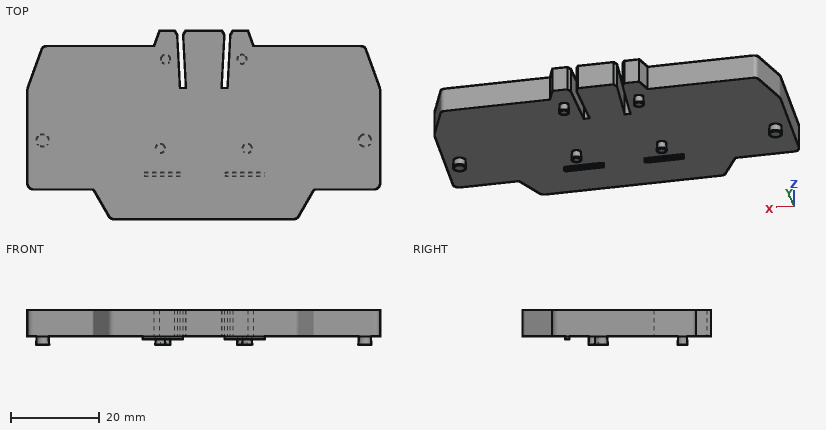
import cadquery as cq
import math

plate_thickness = 6.0
half_width = 40.0
total_depth = 42.8

tongue_height = 6.75
tongue_shoulder_x = 25.0
tongue_slope = math.radians(60)
tongue_half_width = tongue_shoulder_x - tongue_height / math.tan(tongue_slope)

shoulder_y = 39.3
tab_foot_x = 11.3
side_slope = math.radians(20)
bevel_start_y = 29.6
shoulder_corner_x = half_width - (shoulder_y - bevel_start_y) * math.tan(side_slope)
tab_top_x = tab_foot_x - (total_depth - shoulder_y) * math.tan(side_slope)

corner_radius = 1.5
shoulder_radius = 1.2
bevel_radius = 2.3
inner_corner_radius = 0.4

slit_floor_y = 29.8
slit_inner_x = 4.07
slit_outer_x = 5.36
slit_slope = math.radians(3)
mouth_chamfer_height = 1.0
mouth_chamfer_width = 0.6

peg_length = 2.0
neck_length = 0.5
head_flare = 0.1
peg_chamfer = 0.2
end_peg_diameter = 3.0
end_peg_x = 36.5
end_peg_y = 17.9
inner_peg_diameter = 2.3
lower_peg_x = 9.85
lower_peg_y = 16.1
upper_peg_x = 8.65
upper_peg_y = 36.3

bar_length = 9.2
bar_width = 1.0
bar_height = 0.75
bar_chamfer = 0.2
bar_x = (lower_peg_x + upper_peg_x) / 2
bar_y = 10.2


def round_upright_edges(body, corner_x, corner_y, radius):
    """Fillet the mirrored pair of upright edges at (+-corner_x, corner_y)."""
    reach = 0.05
    for x in (-corner_x, corner_x):
        selector = cq.selectors.BoxSelector(
            (x - reach, corner_y - reach, 0),
            (x + reach, corner_y + reach, plate_thickness),
        )
        body = body.edges(selector).fillet(radius)
    return body


def make_plate():
    """Symmetric plate outline, extruded and rounded at its corners."""
    right_side = [
        (tongue_half_width, 0),
        (tongue_shoulder_x, tongue_height),
        (half_width, tongue_height),
        (half_width, bevel_start_y),
        (shoulder_corner_x, shoulder_y),
        (tab_foot_x, shoulder_y),
        (tab_top_x, total_depth),
    ]
    left_side = [(-x, y) for x, y in reversed(right_side)]
    body = cq.Workplane("XY").polyline(right_side + left_side).close().extrude(plate_thickness)
    body = round_upright_edges(body, tongue_half_width, 0, corner_radius)
    body = round_upright_edges(body, tongue_shoulder_x, tongue_height, inner_corner_radius)
    body = round_upright_edges(body, half_width, tongue_height, corner_radius)
    body = round_upright_edges(body, half_width, bevel_start_y, bevel_radius)
    return round_upright_edges(body, shoulder_corner_x, shoulder_y, shoulder_radius)


def make_slit(side):
    """Leaning slit with a chamfered mouth; side is +1 or -1 along X."""
    chamfer_y = total_depth - mouth_chamfer_height
    lean = (chamfer_y - slit_floor_y) * math.tan(slit_slope)
    outline = [
        (slit_inner_x, slit_floor_y),
        (slit_outer_x, slit_floor_y),
        (slit_outer_x + lean, chamfer_y),
        (slit_outer_x + lean + mouth_chamfer_width, total_depth),
        (slit_inner_x + lean - mouth_chamfer_width, total_depth),
        (slit_inner_x + lean, chamfer_y),
    ]
    points = [(side * x, y) for x, y in outline]
    return cq.Workplane("XY").polyline(points).close().extrude(plate_thickness)


def make_peg(x, y, diameter):
    """Round peg hanging from the underside: straight neck, flared head and chamfered tip."""
    head_radius = diameter / 2
    neck_radius = head_radius - head_flare
    half_profile = [
        (0, 0),
        (neck_radius, 0),
        (neck_radius, -neck_length),
        (head_radius, peg_chamfer - peg_length),
        (head_radius - peg_chamfer, -peg_length),
        (0, -peg_length),
    ]
    peg = cq.Workplane("XZ").polyline(half_profile).close().revolve(360, (0, 0, 0), (0, 1, 0))
    return peg.translate((x, y, 0))


def make_bar(x):
    """Low round-ended bar hanging from the underside, chamfered along its lower rim."""
    return (
        cq.Workplane("XY")
        .center(x, bar_y)
        .slot2D(bar_length, bar_width)
        .extrude(-bar_height)
        .faces("<Z")
        .chamfer(bar_chamfer)
    )


result = make_plate()
for side in (-1, 1):
    result = result.cut(make_slit(side))
    result = result.union(make_peg(side * end_peg_x, end_peg_y, end_peg_diameter))
    result = result.union(make_peg(side * lower_peg_x, lower_peg_y, inner_peg_diameter))
    result = result.union(make_peg(side * upper_peg_x, upper_peg_y, inner_peg_diameter))
    result = result.union(make_bar(side * bar_x))